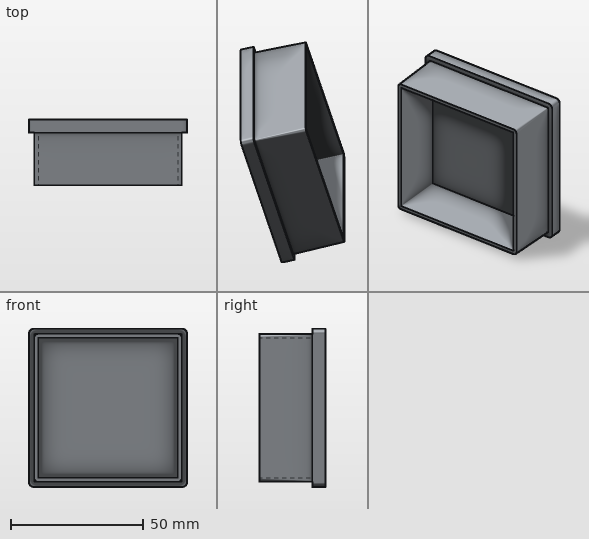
import cadquery as cq

rim_side = 60.0
rim_thickness = 5.0
rim_corner_radius = 2.0
rim_back_round = 0.25

overall_depth = 25.0
plug_side = 56.0
plug_length = overall_depth - rim_thickness
plug_root_radius = 0.5
plug_mouth_radius = 1.5

wall_thickness = 1.5
cavity_side = plug_side - 2 * wall_thickness
cavity_corner_radius = 0.25
floor_thickness = rim_thickness
cavity_depth = overall_depth - floor_thickness

mouth_y = -plug_length


def rounded_square(side, radius):
    return cq.Sketch().rect(side, side).vertices().fillet(radius)


def facing_back(y):
    """Workplane across the Y axis at the given y, with its normal along +Y."""
    return cq.Workplane(cq.Plane(origin=(0, y, 0), xDir=(1, 0, 0), normal=(0, 1, 0)))


def make_rim():
    outline = rounded_square(rim_side, rim_corner_radius)
    rim = facing_back(0).placeSketch(outline).extrude(rim_thickness)
    return rim.faces(">Y").edges().fillet(rim_back_round)


def make_plug():
    """Flat-sided plug whose corner radius grows steadily towards the mouth."""
    mouth = rounded_square(plug_side, plug_mouth_radius)
    root = rounded_square(plug_side, plug_root_radius)
    root_location = cq.Location(cq.Vector(0, 0, plug_length))
    return facing_back(mouth_y).placeSketch(mouth, root.moved(root_location)).loft()


def make_cavity():
    outline = rounded_square(cavity_side, cavity_corner_radius)
    return facing_back(mouth_y).placeSketch(outline).extrude(cavity_depth)


result = make_rim().union(make_plug()).cut(make_cavity())